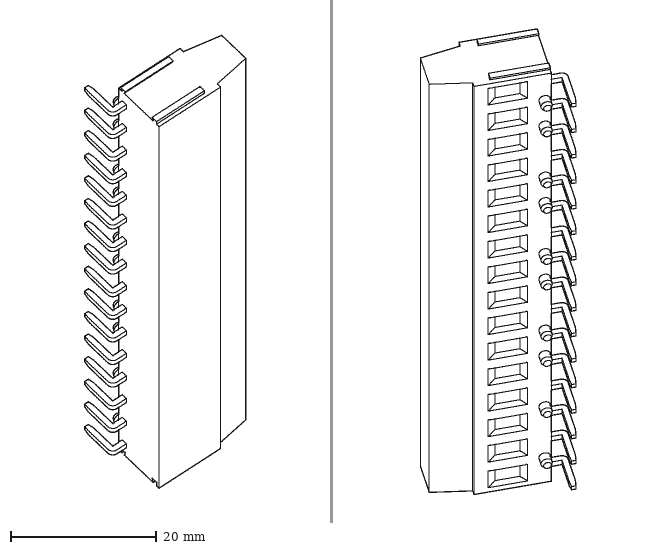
import cadquery as cq

poles = 16
total_height = 80.6
rail_height = 0.6
body_height = total_height - rail_height
pitch = body_height / poles
body_width = 8.8
body_depth = 16.8

shoulder_y = 10.95
shoulder_inset = 0.7
rear_inset_left = 1.85
rear_inset_right = 1.7

rail_length = 8.5
groove_depth = 0.7
undercut = 0.25
left_rail_start = 0.5
left_rail_end = 1.45
right_rail_start = 7.25
right_rail_end = 8.2

window_front = 3.4
window_back = 8.95
window_height = 3.2
window_depth = 0.8
floor_front = 4.3
floor_back = 7.8
floor_height = 2.6

peg_joints = (1, 2, 4, 5, 7, 8, 10, 11, 13, 15)
peg_radius = 0.8
peg_length = 1.7
peg_tip_length = 0.5
peg_tip_inset = 0.25
peg_y = 1.0

pin_size = 0.9
pin_stem_x = 1.7
pin_bend_radius = 0.9
pin_drop = 2.6
pin_reach = 4.35
pin_tip_length = 1.0
pin_tip_size = 0.65
pin_embed = 0.8


def pole_z(index):
    """Centre height of a pole, counted from the bottom."""
    return (index + 0.5) * pitch


def make_housing():
    profile = [
        (0, 0),
        (body_width, 0),
        (body_width, shoulder_y),
        (body_width - shoulder_inset, shoulder_y),
        (body_width - rear_inset_right, body_depth),
        (rear_inset_left, body_depth),
        (shoulder_inset, shoulder_y),
        (0, shoulder_y),
    ]
    return cq.Workplane("XY").polyline(profile).close().extrude(body_height)


def make_dovetails(base_z, height):
    """Two bars along Y that widen upwards; the right bar is undercut on its inner side only."""
    top_z = base_z + height
    left = [
        (left_rail_start + undercut, base_z),
        (left_rail_end - undercut, base_z),
        (left_rail_end, top_z),
        (left_rail_start, top_z),
    ]
    right = [
        (right_rail_start + undercut, base_z),
        (right_rail_end, base_z),
        (right_rail_end, top_z),
        (right_rail_start, top_z),
    ]
    plane = cq.Workplane("XZ")
    left_bar = plane.polyline(left).close().extrude(-rail_length)
    right_bar = plane.polyline(right).close().extrude(-rail_length)
    return left_bar.add(right_bar).combine()


def make_window(z):
    """Pocket whose walls lean in towards a smaller flat floor."""
    mouth_centre = (window_front + window_back) / 2
    floor_centre = (floor_front + floor_back) / 2
    return (
        cq.Workplane("YZ", origin=(0, mouth_centre, z))
        .rect(window_back - window_front, window_height)
        .workplane(offset=window_depth)
        .center(floor_centre - mouth_centre, 0)
        .rect(floor_back - floor_front, floor_height)
        .loft(ruled=True)
    )


def make_peg(z):
    return (
        cq.Workplane("YZ", origin=(0, peg_y, z))
        .circle(peg_radius)
        .extrude(-peg_length)
        .faces("<X")
        .chamfer(peg_tip_length, peg_tip_inset)
    )


def make_pin(z):
    """Square pin leaving the front face, turning left and ending in a tapered tip."""
    tip_start = pin_tip_length - pin_reach
    bent_bar = (
        cq.Workplane("XY", origin=(0, 0, z - pin_size / 2))
        .moveTo(tip_start, -pin_drop)
        .lineTo(pin_stem_x - pin_bend_radius, -pin_drop)
        .radiusArc((pin_stem_x, pin_bend_radius - pin_drop), -pin_bend_radius)
        .lineTo(pin_stem_x, pin_embed)
        .lineTo(pin_stem_x - pin_size, pin_embed)
        .lineTo(pin_stem_x - pin_size, pin_size - pin_drop)
        .lineTo(tip_start, pin_size - pin_drop)
        .close()
        .extrude(pin_size)
    )
    tip = (
        cq.Workplane("YZ", origin=(tip_start, pin_size / 2 - pin_drop, z))
        .rect(pin_size, pin_size)
        .workplane(offset=-pin_tip_length)
        .rect(pin_tip_size, pin_tip_size)
        .loft(ruled=True)
    )
    return bent_bar.union(tip)


result = make_housing()
result = result.union(make_dovetails(body_height, rail_height))
result = result.cut(make_dovetails(0, groove_depth))

for pole in range(poles):
    result = result.cut(make_window(pole_z(pole)))
    result = result.union(make_pin(pole_z(pole)))

for joint in peg_joints:
    result = result.union(make_peg(body_height - joint * pitch))